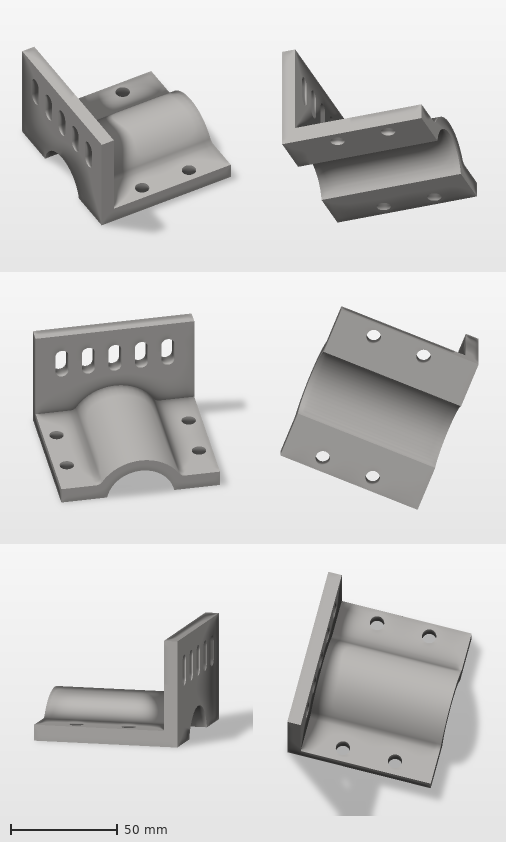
import cadquery as cq
import math

width = 76.2
depth = 69.9
height = 50.8
wall_thickness = 6.55
base_thickness = 7.6

saddle_top = 19.05
bore_top = 13.2
bore_radius = 16.45
root_fillet = 3.2
axis_z = bore_top - bore_radius
saddle_radius = saddle_top - axis_z

hole_diameter = 6.8
hole_spacing_x = 63.5
hole_spacing_y = 25.4
hole_edge_distance = 19.05

slot_count = 5
slot_pitch = 12.7
slot_width = 6.3
slot_length = 14.6
slot_center_z = 34.9


def slab(y_length, z_height):
    """Full-width block standing on Z = 0 with its front face at Y = 0."""
    return cq.Workplane("XY").box(width, y_length, z_height, centered=(True, False, False))


def cylinder_along_y(radius):
    """Cylinder on the saddle axis, running the full depth of the part."""
    return (
        cq.Workplane("XZ")
        .center(0, axis_z)
        .circle(radius)
        .extrude(-depth)
    )


def saddle_root_fillets():
    """Fillets between the saddle and the top of the base, on both sides."""
    center_z = base_thickness + root_fillet
    rise = center_z - axis_z
    center_distance = saddle_radius + root_fillet
    center_x = math.sqrt(center_distance**2 - rise**2)
    share = saddle_radius / center_distance
    touch_x = center_x * share
    touch_z = axis_z + rise * share
    middle_angle = (math.atan2(-rise, -center_x) - math.pi / 2) / 2
    middle_x = center_x + root_fillet * math.cos(middle_angle)
    middle_z = center_z + root_fillet * math.sin(middle_angle)
    inner_x = touch_x - root_fillet
    right = (
        cq.Workplane("XZ")
        .moveTo(center_x, base_thickness)
        .threePointArc((middle_x, middle_z), (touch_x, touch_z))
        .lineTo(inner_x, base_thickness)
        .close()
        .extrude(-depth)
    )
    return right.union(right.mirror("YZ"))


def mounting_holes():
    row_center_y = depth - hole_edge_distance - hole_spacing_y / 2
    return (
        cq.Workplane("XY")
        .center(0, row_center_y)
        .rarray(hole_spacing_x, hole_spacing_y, 2, 2)
        .circle(hole_diameter / 2)
        .extrude(base_thickness)
    )


def wall_slots():
    return (
        cq.Workplane("XZ")
        .center(0, slot_center_z)
        .rarray(slot_pitch, 0.8, slot_count, 1)
        .slot2D(slot_length, slot_width, 90)
        .extrude(-wall_thickness)
    )


saddle = cylinder_along_y(saddle_radius).intersect(slab(depth, height))

result = (
    slab(depth, base_thickness)
    .union(slab(wall_thickness, height))
    .union(saddle)
    .union(saddle_root_fillets())
    .cut(cylinder_along_y(bore_radius))
    .cut(mounting_holes())
    .cut(wall_slots())
)